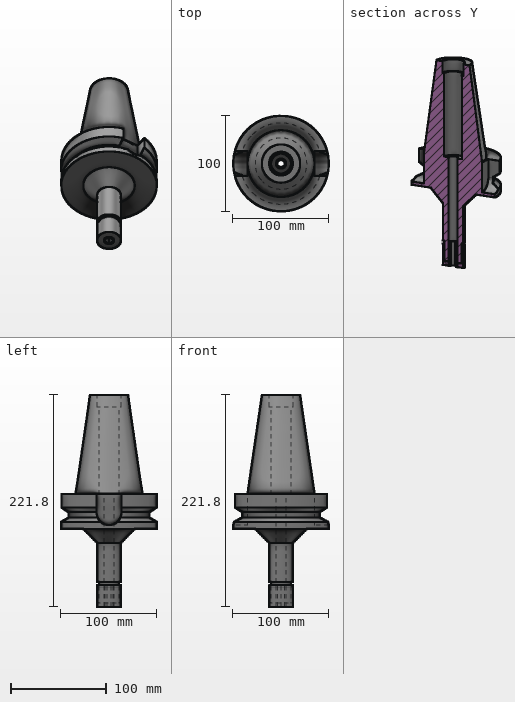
import cadquery as cq
import math

total_height = 221.8
flange_top = 118.5
flange_height = 36.5
flange_bottom = flange_top - flange_height
collar_height = 1.5
cone_height = 14.6
neck_bottom = 26.5
nut_height = 23.3

taper_top_diameter = 40.1
taper_base_diameter = 69.9
flange_diameter = 100.0
cone_diameter = 54.0
neck_diameter = 24.8
nose_diameter = 21.0

groove_diameter = 85.2
groove_upper_edge = 14.2
groove_floor_top = 19.0
groove_floor_bottom = 24.8
groove_lower_edge = 29.3

slot_width = 26.0
slot_depth = 32.5
slot_face_x = 35.0

counterbore_diameter = 24.8
counterbore_depth = 12.6
drawbar_bore_diameter = 20.8
drawbar_bore_depth = total_height - flange_top
collet_diameter = 10.5
hex_across_flats = 7.3

nut_diameter = 25.0
nut_bevel_height = 2.0
nut_bevel_width = 0.2
nose_bottom = 4.5


def cylinder(diameter, bottom, top):
    """Cylinder on the Z axis between two heights."""
    return cq.Workplane("XY").workplane(offset=bottom).circle(diameter / 2).extrude(top - bottom)


def make_holder_blank():
    """Turned outside of the holder: nose, neck, cone, grooved flange and taper."""
    flange_radius = flange_diameter / 2
    groove_radius = groove_diameter / 2
    collar_top = flange_top + collar_height
    profile = [
        (0, nose_bottom),
        (nose_diameter / 2, nose_bottom),
        (nose_diameter / 2, neck_bottom),
        (neck_diameter / 2, neck_bottom),
        (neck_diameter / 2, flange_bottom - cone_height),
        (cone_diameter / 2, flange_bottom),
        (flange_radius, flange_bottom),
        (flange_radius, flange_top - groove_lower_edge),
        (groove_radius, flange_top - groove_floor_bottom),
        (groove_radius, flange_top - groove_floor_top),
        (flange_radius, flange_top - groove_upper_edge),
        (flange_radius, flange_top),
        (taper_base_diameter / 2, flange_top),
        (taper_base_diameter / 2, collar_top),
        (taper_top_diameter / 2, total_height),
        (0, total_height),
    ]
    return cq.Workplane("XZ").polyline(profile).close().revolve(360, (0, 0), (0, 1))


def make_drive_slot(side):
    """Round-bottomed slot cutter, open at the flange top, on the given X side (+1 or -1)."""
    half_width = slot_width / 2
    slot_bottom = flange_top - slot_depth
    arc_height = slot_bottom + half_width
    return (
        cq.Workplane("YZ", origin=(side * slot_face_x, 0, 0))
        .moveTo(-half_width, flange_top)
        .lineTo(-half_width, arc_height)
        .threePointArc((0, slot_bottom), (half_width, arc_height))
        .lineTo(half_width, flange_top)
        .close()
        .extrude(side * flange_diameter / 2)
    )


def make_holder():
    """Holder with its drive slots and stepped axial bore."""
    holder = make_holder_blank()
    for side in (-1, 1):
        holder = holder.cut(make_drive_slot(side))
    holder = holder.cut(cylinder(counterbore_diameter, total_height - counterbore_depth, total_height))
    holder = holder.cut(cylinder(drawbar_bore_diameter, total_height - drawbar_bore_depth, total_height))
    return holder.cut(cylinder(collet_diameter, nose_bottom, total_height))


def make_nut():
    """Clamping nut, bevelled at the top, that fits over the nose and round the collet."""
    nut_radius = nut_diameter / 2
    profile = [
        (collet_diameter / 2, 0),
        (nut_radius, 0),
        (nut_radius, nut_height - nut_bevel_height),
        (nut_radius - nut_bevel_width, nut_height),
        (nose_diameter / 2, nut_height),
        (nose_diameter / 2, nose_bottom),
        (collet_diameter / 2, nose_bottom),
    ]
    return cq.Workplane("XZ").polyline(profile).close().revolve(360, (0, 0), (0, 1))


def make_collet():
    """Straight sleeve with a hexagonal bore, its flats facing X, level with the neck shoulder."""
    hex_across_corners = hex_across_flats / math.cos(math.pi / 6)
    hex_bore = (
        cq.Workplane("XY")
        .polygon(6, hex_across_corners)
        .extrude(neck_bottom)
        .rotate((0, 0, 0), (0, 0, 1), 90)
    )
    return cylinder(collet_diameter, 0, neck_bottom).cut(hex_bore)


holder = make_holder()
nut = make_nut()
collet = make_collet()

result = cq.Compound.makeCompound([holder.val(), nut.val(), collet.val()])